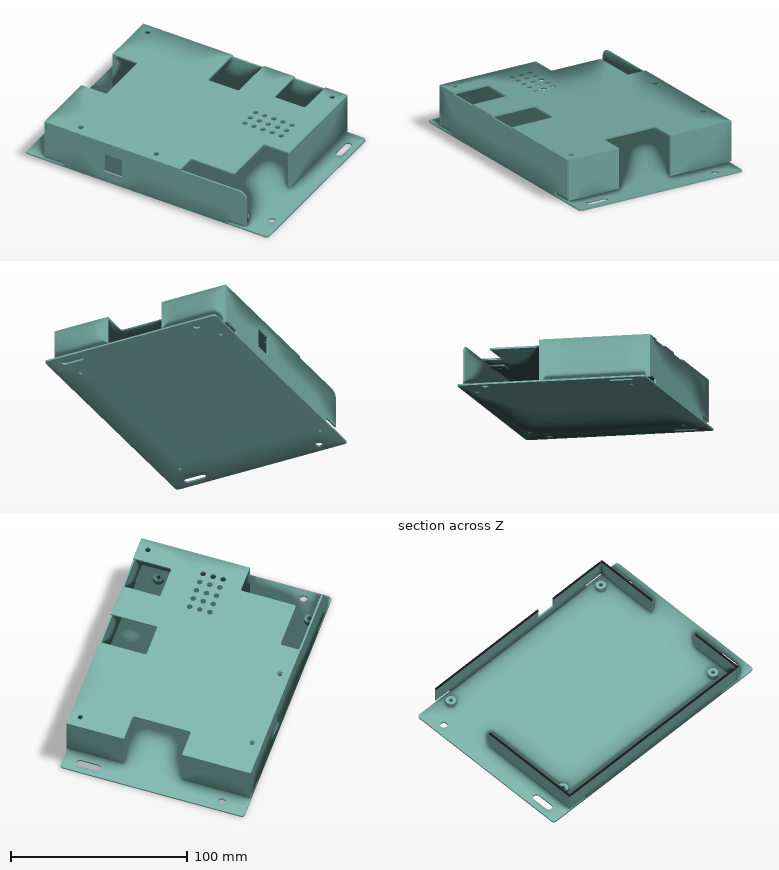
import cadquery as cq

LENGTH = 160.0
WIDTH = 110.0
HEIGHT = 27.0
SHEET = 1.0

PLATE_CORNER_RADIUS = 2.0
MOUNT_X = 74.0
MOUNT_Y = 39.8
MOUNT_DIAMETER = 4.2
SLOT_LENGTH = 14.0
WALL_LENGTH = 131.8
WALL_CORNER_RADIUS = 5.0
WALL_FOOT_LENGTH = 108.2
WALL_RELIEF_TOP = 3.5
WINDOW_SIZE = 12.0
WINDOW_X = -22.0
WINDOW_Z = 13.0
STANDOFF_X = 60.0
STANDOFF_Y_FRONT = -48.0
STANDOFF_Y_REAR = 42.2
STANDOFF_DIAMETER = 6.0
STANDOFF_HEIGHT = 3.0
SCREW_DIAMETER = 2.4
TAB_LENGTH = 12.0
TAB_DEPTH = 9.6

COVER_LENGTH = 135.0
COVER_BOTTOM = 2.2
FRONT_SCREW_XS = (-47.0, 3.0)
FRONT_SCREW_Y = -49.1
FRONT_SCREW_DIAMETER = 3.2
REAR_SCREW_X = 61.0
REAR_SCREW_Y = 49.0
REAR_SCREW_DIAMETER = 3.0
VENT_DIAMETER = 3.2
VENT_ROW_LENGTH = 24.0
VENT_COLUMNS = 5
VENT_ROWS = 3
VENT_CENTER = (43.0, 8.0)
CUT_RADIUS = 1.0

LEFT_NOTCH_DEPTH = 16.6
LEFT_NOTCH_FRONT = -14.0
LEFT_NOTCH_REAR = 20.8
RIGHT_NOTCH_X = 50.9
RIGHT_NOTCH_Y = -10.0
CORNER_NOTCH_X = 22.4
CORNER_NOTCH_Y = -43.0
REAR_CUTOUTS = (
    (-8.2, 12.2, 27.0),
    (32.6, 52.8, 32.2),
)

FRONT = -WIDTH / 2
REAR = WIDTH / 2
COVER_LEFT = -COVER_LENGTH / 2
COVER_RIGHT = COVER_LENGTH / 2
COVER_UNDERSIDE = HEIGHT - SHEET
VENT_PITCH = VENT_ROW_LENGTH / (VENT_COLUMNS - 1)


def box(x_min, x_max, y_min, y_max, z_min, z_max):
    """Block given by its limits along the three axes."""
    size = (x_max - x_min, y_max - y_min, z_max - z_min)
    return cq.Workplane("XY").box(*size, centered=False).translate((x_min, y_min, z_min))


def upright_cylinders(points, diameter, z_min, z_max):
    """Vertical cylinders at the given plan positions."""
    sketch = cq.Workplane("XY").workplane(offset=z_min).pushPoints(points)
    return sketch.circle(diameter / 2).extrude(z_max - z_min)


def base_plate():
    plate = box(-LENGTH / 2, LENGTH / 2, FRONT, REAR, 0, SHEET)
    plate = plate.edges("|Z").fillet(PLATE_CORNER_RADIUS)
    holes = [(side * MOUNT_X, -MOUNT_Y) for side in (-1, 1)]
    slots = [(side * MOUNT_X, MOUNT_Y) for side in (-1, 1)]
    plate = plate.cut(upright_cylinders(holes, MOUNT_DIAMETER, 0, SHEET))
    slot_cutter = cq.Workplane("XY").pushPoints(slots).slot2D(SLOT_LENGTH, MOUNT_DIAMETER, 90)
    return plate.cut(slot_cutter.extrude(SHEET))


def base_wall(y_min):
    """Panel and narrower foot of an upright wall whose ends stand clear of the plate."""
    y_max = y_min + SHEET
    half_foot = WALL_FOOT_LENGTH / 2
    panel = box(-WALL_LENGTH / 2, WALL_LENGTH / 2, y_min, y_max, WALL_RELIEF_TOP, COVER_UNDERSIDE)
    foot = box(-half_foot, half_foot, y_min, y_max, 0, WALL_RELIEF_TOP)
    return panel, foot


def front_wall():
    panel, foot = base_wall(FRONT)
    panel = panel.edges("|Y and >X and >Z").fillet(WALL_CORNER_RADIUS)
    half_window = WINDOW_SIZE / 2
    window = box(
        WINDOW_X - half_window, WINDOW_X + half_window,
        FRONT, FRONT + SHEET,
        WINDOW_Z - half_window, WINDOW_Z + half_window,
    )
    return panel.union(foot).cut(window)


def rear_wall():
    panel, foot = base_wall(REAR - SHEET)
    return panel.union(foot)


def cover_tab(screw_x):
    """Tab bent in from the top of the front wall, with a screw hole."""
    bottom = COVER_UNDERSIDE - SHEET
    half_tab = TAB_LENGTH / 2
    tab = box(screw_x - half_tab, screw_x + half_tab, FRONT, FRONT + TAB_DEPTH, bottom, COVER_UNDERSIDE)
    hole = upright_cylinders([(screw_x, FRONT_SCREW_Y)], SCREW_DIAMETER, bottom, COVER_UNDERSIDE)
    return tab.cut(hole)


def make_base():
    base = base_plate().union(front_wall()).union(rear_wall())
    for screw_x in FRONT_SCREW_XS:
        base = base.union(cover_tab(screw_x))
    standoffs = [
        (side * STANDOFF_X, y) for side in (-1, 1) for y in (STANDOFF_Y_FRONT, STANDOFF_Y_REAR)
    ]
    standoff_top = SHEET + STANDOFF_HEIGHT
    base = base.union(upright_cylinders(standoffs, STANDOFF_DIAMETER, 0, standoff_top))
    return base.cut(upright_cylinders(standoffs, SCREW_DIAMETER, 0, standoff_top))


def cover_top():
    """Top sheet with its notched outline, rear cutouts and rounded cutout corners."""
    notch_bottom_x = COVER_LEFT + LEFT_NOTCH_DEPTH
    outline = [
        (COVER_LEFT, FRONT),
        (CORNER_NOTCH_X, FRONT),
        (CORNER_NOTCH_X, CORNER_NOTCH_Y),
        (RIGHT_NOTCH_X, CORNER_NOTCH_Y),
        (RIGHT_NOTCH_X, RIGHT_NOTCH_Y),
        (COVER_RIGHT, RIGHT_NOTCH_Y),
        (COVER_RIGHT, REAR),
        (COVER_LEFT, REAR),
        (COVER_LEFT, LEFT_NOTCH_REAR),
        (notch_bottom_x, LEFT_NOTCH_REAR),
        (notch_bottom_x, LEFT_NOTCH_FRONT),
        (COVER_LEFT, LEFT_NOTCH_FRONT),
    ]
    top = cq.Workplane("XY").workplane(offset=COVER_UNDERSIDE).polyline(outline).close().extrude(SHEET)
    for left, right, front in REAR_CUTOUTS:
        top = top.cut(box(left, right, front, REAR, COVER_UNDERSIDE, HEIGHT))
    inner_edges = cq.selectors.BoxSelector(
        (COVER_LEFT + SHEET, FRONT + SHEET, 0),
        (COVER_RIGHT - SHEET, REAR - SHEET, HEIGHT),
    )
    return top.edges("|Z").edges(inner_edges).fillet(CUT_RADIUS)


def cover_sides():
    """Two stretches of the left wall and one of the right wall."""
    left_inside = COVER_LEFT + SHEET
    left_front = box(COVER_LEFT, left_inside, FRONT, LEFT_NOTCH_FRONT, COVER_BOTTOM, HEIGHT)
    left_rear = box(COVER_LEFT, left_inside, LEFT_NOTCH_REAR, REAR, COVER_BOTTOM, HEIGHT)
    right = box(COVER_RIGHT - SHEET, COVER_RIGHT, RIGHT_NOTCH_Y, REAR, COVER_BOTTOM, HEIGHT)
    return left_front, left_rear, right


def make_cover():
    cover = cover_top()
    for side in cover_sides():
        cover = cover.union(side)

    front_screws = [(x, FRONT_SCREW_Y) for x in FRONT_SCREW_XS]
    rear_screws = [(side * REAR_SCREW_X, REAR_SCREW_Y) for side in (-1, 1)]
    vents = [
        (
            VENT_CENTER[0] + (column - (VENT_COLUMNS - 1) / 2) * VENT_PITCH,
            VENT_CENTER[1] + (row - (VENT_ROWS - 1) / 2) * VENT_PITCH,
        )
        for column in range(VENT_COLUMNS)
        for row in range(VENT_ROWS)
    ]
    hole_groups = (
        (front_screws, FRONT_SCREW_DIAMETER),
        (rear_screws, REAR_SCREW_DIAMETER),
        (vents, VENT_DIAMETER),
    )
    for points, diameter in hole_groups:
        cover = cover.cut(upright_cylinders(points, diameter, COVER_UNDERSIDE, HEIGHT))
    return cover


base = make_base()
cover = make_cover()
result = cq.Compound.makeCompound([base.val(), cover.val()])